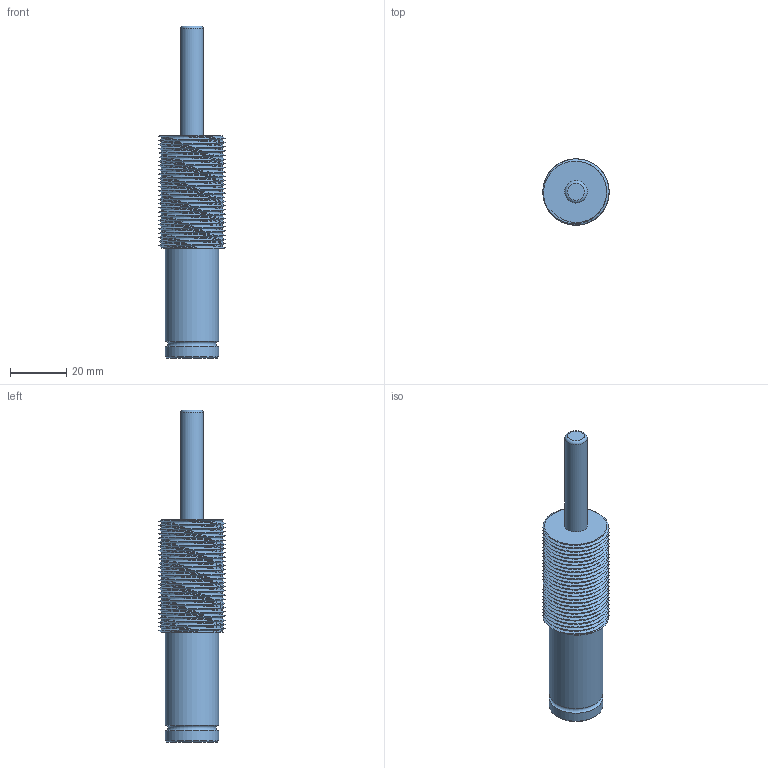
import cadquery as cq

body_length = 39.1
thread_length = 40.0
rod_length = 39.1
body_top = body_length
thread_top = body_top + thread_length
rod_top = thread_top + rod_length

body_radius = 9.5
body_chamfer = 0.5
groove_radius = 1.0
groove_height = 5.0

root_radius = 10.9
crest_radius = 11.785
pitch = 1.5
ridge_width = 1.0
ridge_overlap = 0.1
ridge_start_angle = -30.0
ridge_overrun = pitch
core_overrun = 2 * pitch

rod_radius = 4.0
rod_rounding = 1.0


def cylinder(radius, bottom, top):
    """Round bar on the Z axis between two heights."""
    return cq.Workplane("XY").workplane(offset=bottom).circle(radius).extrude(top - bottom)


def make_body():
    """Plain lower body with a chamfered foot and a half-round ring groove."""
    body = cylinder(body_radius, 0, body_top).faces("<Z").chamfer(body_chamfer)
    groove = (
        cq.Workplane("XZ")
        .moveTo(body_radius, groove_height - groove_radius)
        .threePointArc(
            (body_radius - groove_radius, groove_height),
            (body_radius, groove_height + groove_radius),
        )
        .close()
        .revolve(360, (0, 0), (0, 1))
    )
    return body.cut(groove)


def make_ridge():
    """Helical V ridge running past both ends of the barrel."""
    inner_radius = root_radius - ridge_overlap
    flank_slope = (ridge_width / 2) / (crest_radius - root_radius)
    inner_half_width = flank_slope * (crest_radius - inner_radius)
    path = cq.Workplane(cq.Wire.makeHelix(pitch, thread_length + 2 * ridge_overrun, root_radius))
    return (
        cq.Workplane("XZ")
        .moveTo(inner_radius, -inner_half_width)
        .lineTo(crest_radius, 0)
        .lineTo(inner_radius, inner_half_width)
        .close()
        .sweep(path, isFrenet=True)
        .rotate((0, 0, 0), (0, 0, 1), ridge_start_angle)
        .translate((0, 0, body_top - ridge_overrun))
    )


def make_barrel():
    """Root cylinder and ridge, joined overlong and then trimmed to flat end faces."""
    core = cylinder(root_radius, body_top - core_overrun, thread_top + core_overrun)
    trim = cylinder(crest_radius + pitch, body_top, thread_top)
    return core.union(make_ridge()).intersect(trim)


def make_rod():
    """Slim rod with a rounded tip."""
    return cylinder(rod_radius, thread_top, rod_top).faces(">Z").edges().fillet(rod_rounding)


result = make_body().union(make_barrel()).union(make_rod())